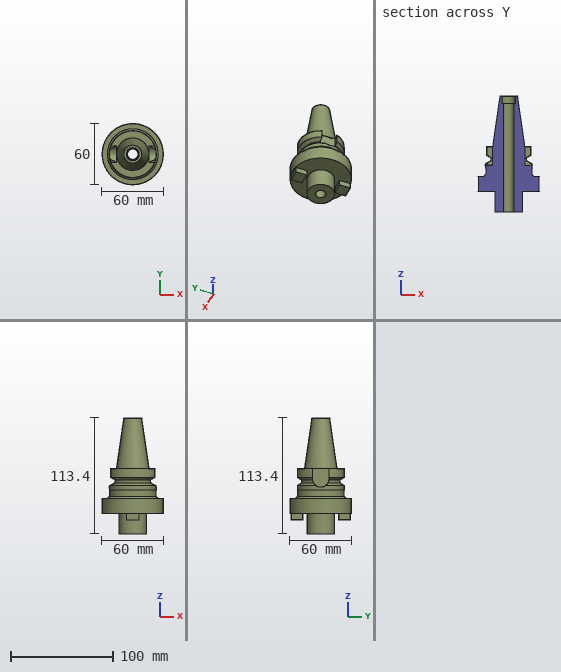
import cadquery as cq

total_height = 113.4
spigot_length = 20.0
body_height = 15.0
body_chamfer = 2.0
collar_bottom = 43.0
groove_bottom_outer = 47.4
groove_bottom_inner = 49.9
groove_top_inner = 53.1
groove_top_outer = groove_top_inner + groove_bottom_inner - groove_bottom_outer
flange_top = 64.1
gauge_height = 65.0
body_top = spigot_length + body_height
neck_bottom = body_top + body_chamfer

spigot_radius = 13.5
body_radius = 60.0 / 2
neck_radius = 22.8
flange_radius = 23.0
groove_radius = 19.0
gauge_radius = 15.9
taper_per_length = 7 / 24
tip_radius = gauge_radius - (total_height - gauge_height) * taper_per_length / 2

bore_radius = 5.1
counterbore_radius = 6.4
counterbore_depth = 7.0

slot_width = 16.1
slot_bottom = 45.9
slot_face_distance = 16.1

key_width = 12.0
key_drop = 6.0
key_inner = 17.5
key_outer = 28.9


def turned_body():
    """Revolve the stepped, grooved and tapered outline about Z."""
    outline = [
        (0, 0),
        (spigot_radius, 0),
        (spigot_radius, spigot_length),
        (body_radius, spigot_length),
        (body_radius, body_top),
        (neck_radius + body_chamfer, body_top),
        (neck_radius, neck_bottom),
        (neck_radius, collar_bottom),
        (flange_radius, collar_bottom),
        (flange_radius, groove_bottom_outer),
        (groove_radius, groove_bottom_inner),
        (groove_radius, groove_top_inner),
        (flange_radius, groove_top_outer),
        (flange_radius, flange_top),
        (gauge_radius, flange_top),
        (gauge_radius, gauge_height),
        (tip_radius, total_height),
        (0, total_height),
    ]
    return cq.Workplane("XZ").polyline(outline).close().revolve(360, (0, 0), (0, 1))


def drive_slot(side):
    """Slot cutter running outward along X, rounded at the bottom and open at the top."""
    half_width = slot_width / 2
    arc_center = slot_bottom + half_width
    return (
        cq.Workplane("YZ", origin=(side * slot_face_distance, 0, 0))
        .moveTo(-half_width, flange_top)
        .lineTo(-half_width, arc_center)
        .threePointArc((0, slot_bottom), (half_width, arc_center))
        .lineTo(half_width, flange_top)
        .close()
        .extrude(side * (body_radius - slot_face_distance))
    )


def drive_key(side):
    """Rectangular key hanging below the underside of the body."""
    key_length = key_outer - key_inner
    return (
        cq.Workplane("XY", origin=(0, side * (key_inner + key_outer) / 2, spigot_length))
        .rect(key_width, key_length)
        .extrude(-key_drop)
    )


result = turned_body()
for side in (-1, 1):
    result = result.cut(drive_slot(side)).union(drive_key(side))

result = result.faces(">Z").workplane().cboreHole(
    2 * bore_radius, 2 * counterbore_radius, counterbore_depth
)